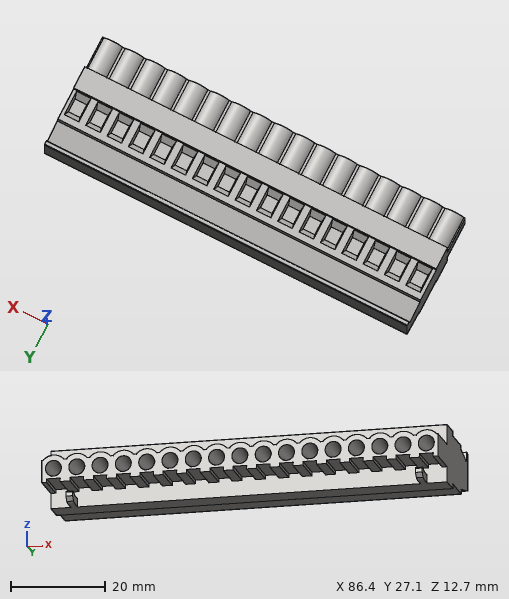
import cadquery as cq
import math

LENGTH = 86.4
DEPTH = 27.1
HEIGHT = 12.7
POLES = 17
PITCH = LENGTH / POLES

FRONT_FACE_Y = 8.3
COLLAR_WIDTH = 5.2
COLLAR_BACK_Y = FRONT_FACE_Y + COLLAR_WIDTH
COLLAR_STEP = 1.0
DECK_Z = HEIGHT - COLLAR_STEP
DECK_BACK_Y = 20.8
DECK_STEP = 0.9
DECK_STEP_SLANT = 0.3
LIP_THICKNESS = 1.0
LIP_CHAMFER = 0.2
LIP_GROOVE_Y = 25.8
LIP_GROOVE_Z = 9.6
LIP_GROOVE_FLAT = 0.3
BELLY_BACK_Y = 21.4
BELLY_STEP_Z = 2.1
BACK_BOTTOM_Z = 3.4

SLEEVE_BOTTOM_Z = 3.4
SLEEVE_VALLEY_Z = 8.3
SLEEVE_RADIUS = 2.9
HOLE_Z = 6.4
NOTCH_WIDTH = 2.9
NOTCH_HEIGHT = 0.8

HOLE_MOUTH_DIAMETER = 3.45
HOLE_END_DIAMETER = 1.6
HOLE_DEPTH = 6.9

WINDOW_WIDTH = 3.45
WINDOW_COLLAR_GAP = 0.2
WINDOW_FRONT_Y = COLLAR_BACK_Y + WINDOW_COLLAR_GAP
WINDOW_BACK_Y = 19.35
WINDOW_DEPTH = 1.3
WINDOW_SIDE_TAPER = 0.35
WINDOW_FRONT_TAPER = 1.4
WINDOW_BACK_TAPER = 1.2

HOOK_WIDTH = 1.5
HOOK_ARM_TOP_Z = 1.8
HOOK_TIP_Y = 3.8
HOOK_ELBOW_Y = 5.9
HOOK_TOP_Z = 2.3
HOOK_SLOPE_TOP_Y = 4.6
HOOK_TIP_CHAMFER = 0.3
HOOK_CHEEK_Z = 1.2
HOOK_CHIN_Y = 4.7
HOOK_CHIN_Z = 0.3
HOOK_BOTTOM_END_Y = 5.5


def pole_x(index):
    return (index + 0.5) * PITCH


def profile_along_x(points, start_x, width):
    """Extrude a closed (Y, Z) outline along +X."""
    return cq.Workplane("YZ", origin=(start_x, 0, 0)).polyline(points).close().extrude(width)


def make_housing():
    outline = [
        (FRONT_FACE_Y, 0),
        (FRONT_FACE_Y, HEIGHT),
        (COLLAR_BACK_Y, HEIGHT),
        (COLLAR_BACK_Y, DECK_Z),
        (DECK_BACK_Y, DECK_Z),
        (DECK_BACK_Y + DECK_STEP_SLANT, DECK_Z - DECK_STEP),
        (LIP_GROOVE_Y - LIP_GROOVE_FLAT, LIP_GROOVE_Z),
        (LIP_GROOVE_Y, LIP_GROOVE_Z),
        (DEPTH - LIP_THICKNESS, DECK_Z),
        (DEPTH - LIP_CHAMFER, DECK_Z),
        (DEPTH, DECK_Z - LIP_CHAMFER),
        (DEPTH, BACK_BOTTOM_Z),
        (BELLY_BACK_Y, BELLY_STEP_Z),
        (BELLY_BACK_Y, COLLAR_STEP),
        (COLLAR_BACK_Y, COLLAR_STEP),
        (COLLAR_BACK_Y, 0),
    ]
    return profile_along_x(outline, 0, LENGTH)


def make_sleeve_row():
    """Bar with one rounded crest above, and one notch below, each contact hole."""
    crest_half_width = math.sqrt(SLEEVE_RADIUS**2 - (SLEEVE_VALLEY_Z - HOLE_Z) ** 2)
    notch_top_z = SLEEVE_BOTTOM_Z + NOTCH_HEIGHT
    outline = cq.Workplane("XZ").moveTo(0, SLEEVE_BOTTOM_Z).lineTo(0, SLEEVE_VALLEY_Z)
    for index in range(POLES):
        x = pole_x(index)
        outline = outline.lineTo(x - crest_half_width, SLEEVE_VALLEY_Z).threePointArc(
            (x, HOLE_Z + SLEEVE_RADIUS), (x + crest_half_width, SLEEVE_VALLEY_Z)
        )
    outline = outline.lineTo(LENGTH, SLEEVE_VALLEY_Z).lineTo(LENGTH, SLEEVE_BOTTOM_Z)
    for index in reversed(range(POLES)):
        left_x = pole_x(index) - NOTCH_WIDTH / 2
        right_x = left_x + NOTCH_WIDTH
        outline = (
            outline.lineTo(right_x, SLEEVE_BOTTOM_Z)
            .lineTo(right_x, notch_top_z)
            .lineTo(left_x, notch_top_z)
            .lineTo(left_x, SLEEVE_BOTTOM_Z)
        )
    return outline.close().extrude(-FRONT_FACE_Y)


def make_hook(center_x):
    outline = [
        (FRONT_FACE_Y, 0),
        (FRONT_FACE_Y, HOOK_ARM_TOP_Z),
        (HOOK_ELBOW_Y, HOOK_ARM_TOP_Z),
        (HOOK_SLOPE_TOP_Y, HOOK_TOP_Z),
        (HOOK_TIP_Y + HOOK_TIP_CHAMFER, HOOK_TOP_Z),
        (HOOK_TIP_Y, HOOK_TOP_Z - HOOK_TIP_CHAMFER),
        (HOOK_TIP_Y, HOOK_CHEEK_Z),
        (HOOK_CHIN_Y, HOOK_CHIN_Z),
        (HOOK_BOTTOM_END_Y, 0),
    ]
    return profile_along_x(outline, center_x - HOOK_WIDTH / 2, HOOK_WIDTH)


def make_contact_hole(center_x):
    return cq.Workplane(
        cq.Solid.makeCone(
            HOLE_MOUTH_DIAMETER / 2,
            HOLE_END_DIAMETER / 2,
            HOLE_DEPTH,
            pnt=cq.Vector(center_x, 0, HOLE_Z),
            dir=cq.Vector(0, 1, 0),
        )
    )


def make_window(center_x):
    """Pocket narrowing from a rectangular opening in the deck to a smaller floor."""
    floor_front_y = WINDOW_FRONT_Y + WINDOW_FRONT_TAPER
    floor_back_y = WINDOW_BACK_Y - WINDOW_BACK_TAPER
    floor_shift_y = (floor_front_y + floor_back_y - WINDOW_FRONT_Y - WINDOW_BACK_Y) / 2
    return (
        cq.Workplane("XY", origin=(center_x, (WINDOW_FRONT_Y + WINDOW_BACK_Y) / 2, DECK_Z))
        .rect(WINDOW_WIDTH, WINDOW_BACK_Y - WINDOW_FRONT_Y)
        .workplane(offset=-WINDOW_DEPTH)
        .center(0, floor_shift_y)
        .rect(WINDOW_WIDTH - 2 * WINDOW_SIDE_TAPER, floor_back_y - floor_front_y)
        .loft(ruled=True)
    )


result = make_housing().union(make_sleeve_row())

for hook_x in (PITCH, LENGTH - PITCH):
    result = result.union(make_hook(hook_x))

for pole in range(POLES):
    result = result.cut(make_contact_hole(pole_x(pole)))
    result = result.cut(make_window(pole_x(pole)))